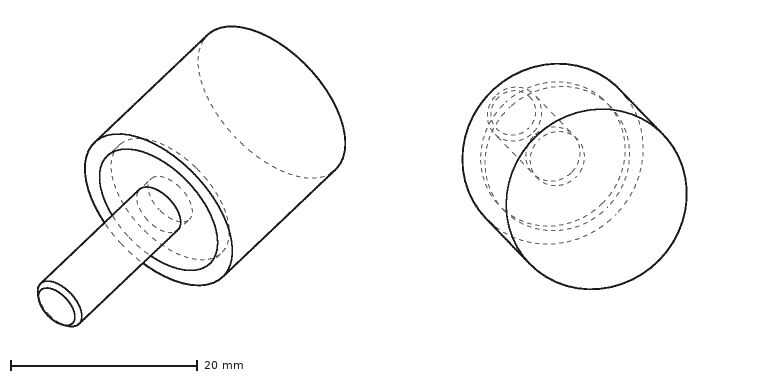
import cadquery as cq

total_length = 38.0
buffer_diameter = 20.0
buffer_length = 20.0
plate_diameter = 16.0
plate_thickness = 2.0
stud_diameter = 6.0
stud_chamfer = 0.55

stud_projection = total_length - buffer_length
stud_length = stud_projection + plate_thickness


def cylinder_along_y(diameter, start_y, length):
    """Solid cylinder on the Y axis, running from start_y toward +Y."""
    return (
        cq.Workplane("XZ", origin=(0, start_y, 0))
        .circle(diameter / 2)
        .extrude(-length)
    )


def make_buffer():
    """Cylindrical body with a shallow recess that holds the plate flush."""
    recess = cylinder_along_y(plate_diameter, 0, plate_thickness)
    return cylinder_along_y(buffer_diameter, 0, buffer_length).cut(recess)


def make_plate():
    """Round plate with a central through hole for the stud."""
    stud_hole = cylinder_along_y(stud_diameter, 0, plate_thickness)
    return cylinder_along_y(plate_diameter, 0, plate_thickness).cut(stud_hole)


def make_stud():
    """Plain stud through the plate, chamfered at its free end."""
    stud = cylinder_along_y(stud_diameter, -stud_projection, stud_length)
    return stud.faces("<Y").chamfer(stud_chamfer)


buffer = make_buffer()
plate = make_plate()
stud = make_stud()

result = cq.Compound.makeCompound([buffer.val(), plate.val(), stud.val()])